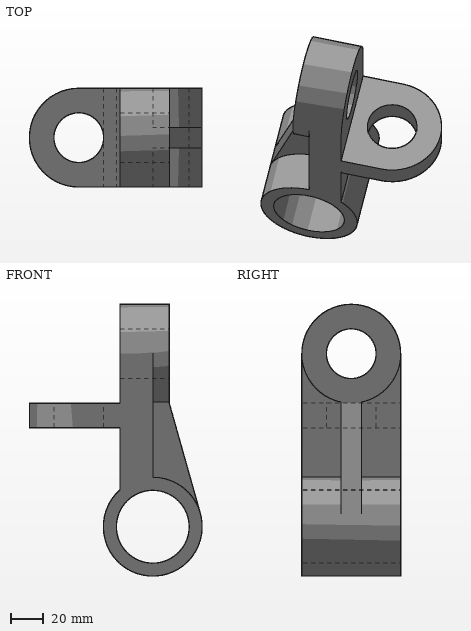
import cadquery as cq
import math

width = 60.0
outer_radius = width / 2
tube_bore = 44.0
lug_hole = 30.0
plate_thickness = 20.0
boss_projection = 10.0
boss_height = 105.0
lug_reach = 44.9
lug_thickness = 15.0
lug_top = boss_height - outer_radius
rib_thickness = 12.4
rib_overlap = 3.3


def block(x_min, x_max, z_min, z_max, depth):
    """Box centred on the XZ plane."""
    return cq.Workplane("XY").box(
        x_max - x_min, depth, z_max - z_min, centered=(False, True, False)
    ).translate((x_min, 0, z_min))


def tube_cylinder(diameter):
    return cq.Workplane("XZ").circle(diameter / 2).extrude(width / 2, both=True)


def boss_cylinder(diameter):
    return (
        cq.Workplane("YZ", origin=(-plate_thickness, 0, boss_height))
        .circle(diameter / 2)
        .extrude(plate_thickness + boss_projection)
    )


def lug_cylinder(diameter):
    return (
        cq.Workplane("XY", origin=(-lug_reach, 0, lug_top - lug_thickness))
        .circle(diameter / 2)
        .extrude(lug_thickness)
    )


def rib():
    """Web whose sloping edge runs from the boss tangentially onto the tube."""
    distance = math.hypot(boss_projection, lug_top)
    tangent_angle = math.atan2(lug_top, boss_projection) - math.acos(outer_radius / distance)
    tangent_point = (
        outer_radius * math.cos(tangent_angle),
        outer_radius * math.sin(tangent_angle),
    )
    rib_top = lug_top + rib_overlap
    return (
        cq.Workplane("XZ")
        .polyline([
            (0, 0),
            tangent_point,
            (boss_projection, lug_top),
            (boss_projection, rib_top),
            (0, rib_top),
        ])
        .close()
        .extrude(rib_thickness / 2, both=True)
    )


plate = block(-plate_thickness, 0, 0, boss_height, width)
lug_arm = block(-lug_reach, 0, lug_top - lug_thickness, lug_top, width)

body = (
    plate
    .union(tube_cylinder(2 * outer_radius))
    .union(boss_cylinder(2 * outer_radius))
    .union(lug_arm)
    .union(lug_cylinder(2 * outer_radius))
    .union(rib())
)

result = (
    body
    .cut(tube_cylinder(tube_bore))
    .cut(boss_cylinder(lug_hole))
    .cut(lug_cylinder(lug_hole))
)